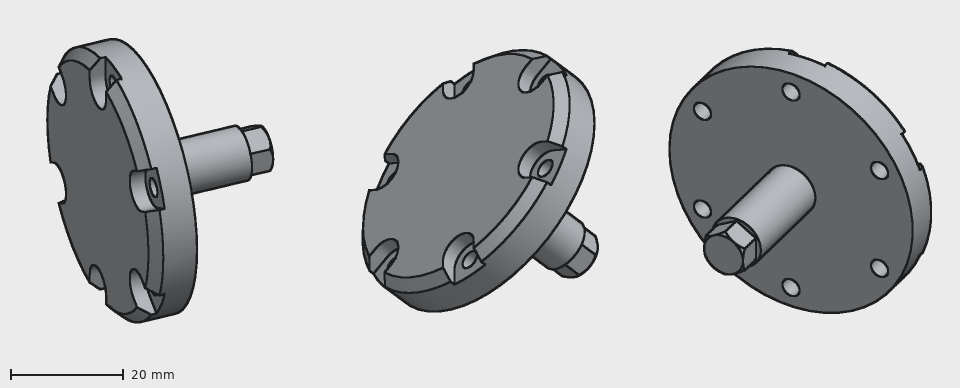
import cadquery as cq
import math

flange_diameter = 50.0
flange_thickness = 8.5
front_chamfer = 2.0

total_length = 32.0
shaft_diameter = 10.0
hex_sides = 6
hex_length = 4.5
hex_across_flats = 8.0
hex_across_corners = hex_across_flats / math.cos(math.pi / hex_sides)
hex_tip_chamfer = (hex_across_corners - hex_across_flats) / 2

screw_count = 6
screw_circle_radius = 21.0
screw_hole_diameter = 3.5
seat_width = 7.4
seat_depth = 3.0

shaft_end = total_length - hex_length


def cylinder_along_y(diameter, start, end):
    """Cylinder on the Y axis between two Y positions."""
    plane = cq.Workplane("XZ", origin=(0, start, 0))
    return plane.circle(diameter / 2).extrude(start - end)


def make_flange():
    disc = cylinder_along_y(flange_diameter, 0, flange_thickness)
    return disc.faces("<Y").edges().chamfer(front_chamfer)


def make_hex_end():
    """Hexagon with two corners on the Z axis and a conical trim on its tip."""
    prism = (
        cq.Workplane("XZ", origin=(0, shaft_end, 0))
        .polygon(hex_sides, hex_across_corners)
        .extrude(-hex_length)
        .rotate((0, 0, 0), (0, 1, 0), 90)
    )
    envelope = cylinder_along_y(hex_across_corners, shaft_end, total_length)
    envelope = envelope.faces(">Y").edges().chamfer(hex_tip_chamfer)
    return prism.intersect(envelope)


def make_screw_cutter():
    """Round-ended seat and through hole at the top (+Z) of the flange."""
    center = (0, 0, screw_circle_radius)
    round_end = cq.Workplane("XZ", origin=center).circle(seat_width / 2).extrude(-seat_depth)
    opening = (
        cq.Workplane("XZ", origin=center)
        .rect(seat_width, flange_diameter)
        .extrude(-seat_depth)
        .translate((0, 0, flange_diameter / 2))
    )
    hole = cq.Workplane("XZ", origin=center).circle(screw_hole_diameter / 2).extrude(-flange_thickness)
    return round_end.union(opening).union(hole)


result = make_flange()
result = result.union(cylinder_along_y(shaft_diameter, flange_thickness, shaft_end))
result = result.union(make_hex_end())
screw_cutter = make_screw_cutter()
for index in range(screw_count):
    angle = index * 360 / screw_count
    result = result.cut(screw_cutter.rotate((0, 0, 0), (0, 1, 0), angle))